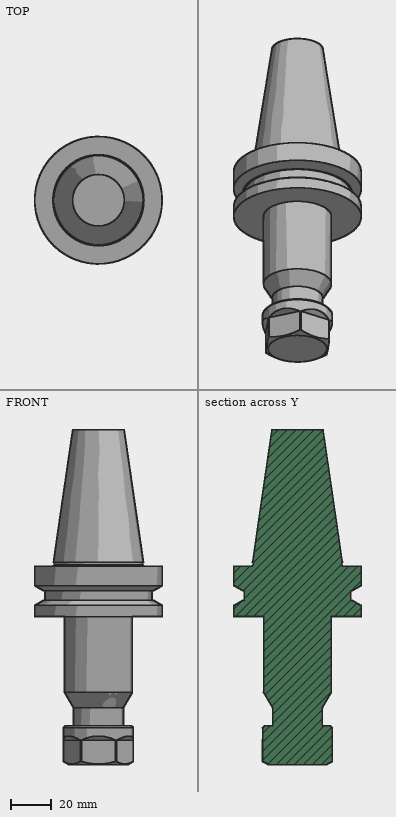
import cadquery as cq
import math

total_height = 165.4

nut_diameter = 34.5
nut_top = 19.4
nut_rim_chamfer = 1.0
nut_end_diameter = 29.0
nut_end_chamfer_height = 1.7
hex_across_flats = 30.3
hex_top = 12.0

neck_diameter = 24.8
neck_top = 28.3
shank_diameter = 33.5
shank_bottom = 35.7

flange_diameter = 63.0
flange_bottom = 73.1
flange_top = 98.0
groove_diameter = 53.0
groove_bottom = 81.2
groove_top = 85.8
groove_wall_angle = 30.0
groove_ledge = 0.7

taper_bottom = 100.0
taper_large_diameter = 44.5
taper_ratio = 7 / 24
relief_diameter = 43.8
relief_bottom = 98.7
foot_diameter = 45.0


def make_body():
    """Neck, shank, flange and taper as one turned profile."""
    neck_radius = neck_diameter / 2
    shank_radius = shank_diameter / 2
    flange_radius = flange_diameter / 2
    groove_radius = groove_diameter / 2
    relief_radius = relief_diameter / 2
    foot_radius = foot_diameter / 2
    wall_radius = groove_radius + groove_ledge
    wall_height = (flange_radius - wall_radius) * math.tan(math.radians(groove_wall_angle))
    taper_length = total_height - taper_bottom
    taper_small_diameter = taper_large_diameter - taper_length * taper_ratio
    profile = [
        (0, nut_top),
        (neck_radius, nut_top),
        (neck_radius, neck_top),
        (shank_radius, shank_bottom),
        (shank_radius, flange_bottom),
        (flange_radius, flange_bottom),
        (flange_radius, groove_bottom - wall_height),
        (wall_radius, groove_bottom),
        (groove_radius, groove_bottom),
        (groove_radius, groove_top),
        (wall_radius, groove_top),
        (flange_radius, groove_top + wall_height),
        (flange_radius, flange_top),
        (foot_radius, flange_top),
        (relief_radius, relief_bottom),
        (relief_radius, taper_bottom),
        (taper_large_diameter / 2, taper_bottom),
        (taper_small_diameter / 2, total_height),
        (0, total_height),
    ]
    return cq.Workplane("XZ").polyline(profile).close().revolve(360, (0, 0), (0, 1))


def make_nut():
    """Round nut with six wrench flats that run out along 45 degree planes."""
    nut_radius = nut_diameter / 2
    profile = [
        (0, 0),
        (nut_end_diameter / 2, 0),
        (nut_radius, nut_end_chamfer_height),
        (nut_radius, nut_top - nut_rim_chamfer),
        (nut_radius - nut_rim_chamfer, nut_top),
        (0, nut_top),
    ]
    nut = cq.Workplane("XZ").polyline(profile).close().revolve(360, (0, 0), (0, 1))

    flat_distance = hex_across_flats / 2
    runout = nut_diameter - flat_distance
    cutter = (
        cq.Workplane("YZ")
        .moveTo(flat_distance, 0)
        .lineTo(flat_distance, hex_top)
        .lineTo(flat_distance + runout, hex_top + runout)
        .lineTo(flat_distance + runout, 0)
        .close()
        .extrude(nut_radius, both=True)
    )
    for side in range(6):
        nut = nut.cut(cutter.rotate((0, 0, 0), (0, 0, 1), 60 * side))
    return nut


result = make_body().union(make_nut())